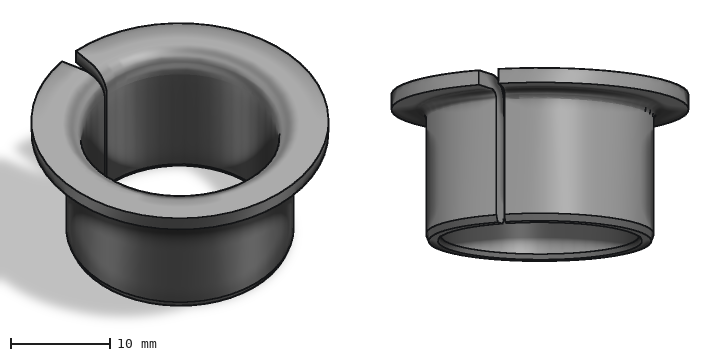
import cadquery as cq
import math

flange_radius = 15.0
height = 15.0
wall = 1.5
bore_radius = flange_radius * 2 / 3
inner_bend = flange_radius / 6
chamfer_height = 0.72
chamfer_depth = 0.27
bore_chamfer_height = 0.5
bore_chamfer_depth = 0.3
slit_bore_width = 0.35
slit_half_angle = 10.0

tube_radius = bore_radius + wall
outer_bend = inner_bend - wall
bend_center_radius = bore_radius + inner_bend
bend_center_z = height - inner_bend
cos45 = math.cos(math.radians(45))


def bend_middle(radius):
    """Midpoint of a quarter arc about the common bend centre."""
    return (-bend_center_radius + radius * cos45, bend_center_z + radius * cos45)


def bushing_body():
    """Revolve the wall profile, placed on -X so its seam falls inside the slit."""
    return (
        cq.Workplane("XZ")
        .moveTo(-bore_radius, bore_chamfer_height)
        .lineTo(-bore_radius - bore_chamfer_depth, 0)
        .lineTo(-tube_radius + chamfer_depth, 0)
        .lineTo(-tube_radius, chamfer_height)
        .lineTo(-tube_radius, bend_center_z)
        .threePointArc(bend_middle(outer_bend), (-bend_center_radius, height - wall))
        .lineTo(-flange_radius, height - wall)
        .lineTo(-flange_radius, height)
        .lineTo(-bend_center_radius, height)
        .threePointArc(bend_middle(inner_bend), (-bore_radius, bend_center_z))
        .close()
        .revolve(360, (0, 0, 0), (0, 1, 0))
    )


def slit_cutter():
    """Wedge on the -X side that widens from inside the bore past the flange rim."""
    slope = math.tan(math.radians(slit_half_angle))
    apex_x = -bore_radius + slit_bore_width / 2 / slope
    end_x = -1.1 * flange_radius
    end_half_width = (apex_x - end_x) * slope
    return (
        cq.Workplane("XY")
        .polyline([(apex_x, 0), (end_x, end_half_width), (end_x, -end_half_width)])
        .close()
        .extrude(height)
    )


result = bushing_body().cut(slit_cutter())